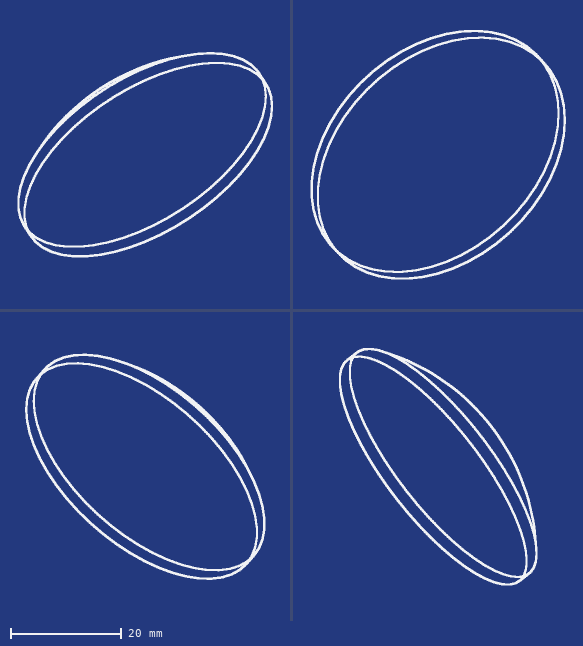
import cadquery as cq
import math

diameter = 50.8
center_thickness = 11.75
edge_thickness = 2.45

radius = diameter / 2
dome_height = center_thickness - edge_thickness
dome_radius = (radius**2 + dome_height**2) / (2 * dome_height)

half_angle = math.asin(radius / dome_radius) / 2
mid_x = -center_thickness + dome_radius * (1 - math.cos(half_angle))
mid_y = dome_radius * math.sin(half_angle)

half_section = (
    cq.Workplane("XY")
    .moveTo(-center_thickness, 0)
    .threePointArc((mid_x, mid_y), (-edge_thickness, radius))
    .lineTo(0, radius)
    .lineTo(0, 0)
    .close()
)

result = half_section.revolve(360, (0, 0, 0), (1, 0, 0))